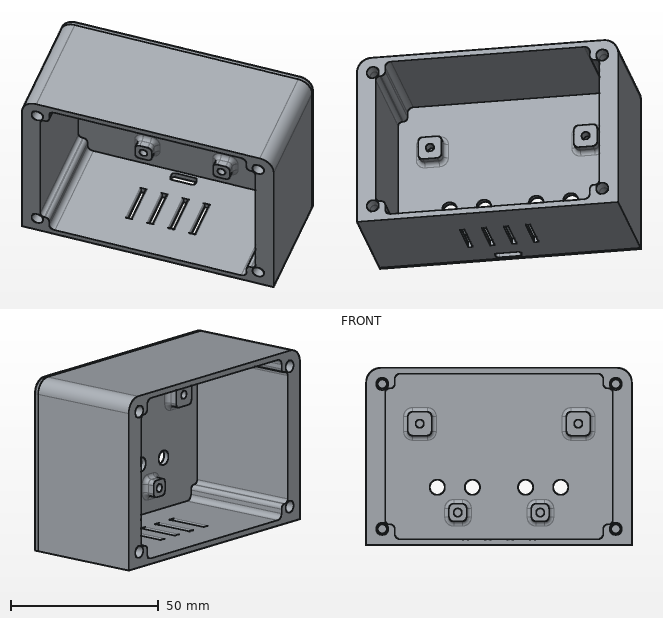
import cadquery as cq

length = 90.0
depth = 42.0
height = 60.0
corner_radius = 5.0
panel_thickness = 2.0
panel_edge_radius = 1.0
wall_depth = depth - panel_thickness

side_wall = 6.5
floor_thickness = 2.0
block_reach = 3.2
block_height = 7.0
block_root_radius = 1.4
block_nose_radius = 1.5
cavity_corner_radius = 2.0

screw_inset = 5.5
screw_mouth_diameter = 4.1
screw_tip_diameter = 3.1
screw_taper_depth = 3.0
screw_hole_depth = 10.0

vent_count = 4
vent_pitch = 7.6
vent_width = 1.5
vent_length = 15.0
vent_edge_radius = 0.45

connector_length = 9.0
connector_width = 3.3
connector_corner_radius = 1.0
connector_panel_gap = 1.1

standoff_height = 4.0
standoff_corner_radius = 1.5
standoff_flare = 1.5
standoff_hole_diameter = 2.8
large_standoff_width = 8.0
large_standoff_x = 26.8
large_standoff_z = 11.1
small_standoff_width = 5.9
small_standoff_x = 13.95
small_standoff_z = -19.0

light_hole_diameter = 5.0
light_hole_xs = (9.0, 20.9)
light_hole_z = -10.4


def upright_plane(y):
    """Sketch plane at the given y, with local x along +X, local y along +Z and its normal towards -Y."""
    return cq.Workplane(cq.Plane(origin=(0, y, 0), xDir=(1, 0, 0), normal=(0, -1, 0)))


def outer_block(y_start, block_depth):
    """Solid with the outer outline, running from y_start towards +Y."""
    return (
        upright_plane(y_start)
        .rect(length, height)
        .extrude(-block_depth)
        .edges("|Y and >Z")
        .fillet(corner_radius)
    )


def cavity():
    """Space inside the walls: a wide slab and a narrower tall slab that leave four corner blocks."""
    inner_width = length - 2 * side_wall
    gap_between_blocks = height - 2 * block_height
    wide_part = upright_plane(0).rect(inner_width, gap_between_blocks).extrude(-wall_depth)
    tall_width = inner_width - 2 * block_reach
    tall_height = height - 2 * floor_thickness
    tall_part = (
        upright_plane(0)
        .rect(tall_width, tall_height)
        .extrude(-wall_depth)
        .edges("|Y")
        .fillet(cavity_corner_radius)
    )
    root_selector = cq.selectors.SumSelector(
        cq.selectors.StringSyntaxSelector("|Y and >X"),
        cq.selectors.StringSyntaxSelector("|Y and <X"),
    )
    space = wide_part.edges(root_selector).fillet(block_root_radius).union(tall_part)
    nose_size = (tall_width + 0.2, 2 * depth, gap_between_blocks + 0.2)
    return space.edges("|Y").edges(cq.selectors.BoxSelector(
        tuple(-s / 2 for s in nose_size), tuple(s / 2 for s in nose_size), boundingbox=False
    )).fillet(block_nose_radius)


def screw_holes():
    """Four blind holes with tapered mouths, one in each corner of the rim."""
    x = length / 2 - screw_inset
    z = height / 2 - screw_inset
    profile = [
        (0, 0),
        (screw_mouth_diameter / 2, 0),
        (screw_tip_diameter / 2, screw_taper_depth),
        (screw_tip_diameter / 2, screw_hole_depth),
        (0, screw_hole_depth),
    ]
    hole = cq.Workplane("XY").polyline(profile).close().revolve(360, (0, 0, 0), (0, 1, 0))
    holes = cq.Workplane("XY")
    for side in (-1, 1):
        for level in (-1, 1):
            holes = holes.add(hole.translate((side * x, 0, level * z)))
    return holes.combine()


def vent_slots():
    """Row of slots through the floor, their long upper edges rounded over."""
    floor_top = floor_thickness - height / 2
    half_mouth = vent_width / 2 + vent_edge_radius
    slots = cq.Workplane("XY")
    profile = (
        cq.Workplane("XZ", origin=(0, depth / 2 + vent_length / 2, 0))
        .moveTo(-vent_width / 2, -height / 2)
        .lineTo(-vent_width / 2, floor_top - vent_edge_radius)
        .radiusArc((-half_mouth, floor_top), -vent_edge_radius)
        .lineTo(half_mouth, floor_top)
        .radiusArc((vent_width / 2, floor_top - vent_edge_radius), -vent_edge_radius)
        .lineTo(vent_width / 2, -height / 2)
        .close()
        .extrude(vent_length)
    )
    for i in range(vent_count):
        x = (i - (vent_count - 1) / 2) * vent_pitch
        slots = slots.add(profile.translate((x, 0, 0)))
    return slots.combine()


def connector_opening():
    """Rounded rectangular opening through the floor."""
    y = wall_depth - connector_panel_gap - connector_width / 2
    return (
        cq.Workplane("XY", origin=(0, y, -height / 2))
        .rect(connector_length, connector_width)
        .extrude(floor_thickness)
        .edges("|Z")
        .fillet(connector_corner_radius)
    )


def make_housing():
    """Four walls with corner screw blocks, open at both ends."""
    return (
        outer_block(0, wall_depth)
        .cut(cavity())
        .cut(screw_holes())
        .cut(vent_slots())
        .cut(connector_opening())
    )


def standoff(x, z, width):
    """Square post with rounded corners on the panel's inner face."""
    return (
        upright_plane(wall_depth)
        .center(x, z)
        .rect(width, width)
        .extrude(standoff_height)
        .edges("|Y")
        .fillet(standoff_corner_radius)
    )


def make_panel():
    """Back panel with light holes and four standoffs, closing the far end of the housing."""
    panel = outer_block(wall_depth, panel_thickness).faces(">Y").edges().fillet(panel_edge_radius)
    posts = [
        (side * x, z, width)
        for side in (-1, 1)
        for x, z, width in (
            (large_standoff_x, large_standoff_z, large_standoff_width),
            (small_standoff_x, small_standoff_z, small_standoff_width),
        )
    ]
    for x, z, width in posts:
        panel = panel.union(standoff(x, z, width))
    foot = cq.selectors.BoxSelector(
        (-length * 0.45, wall_depth - 0.01, -height * 0.45),
        (length * 0.45, wall_depth + 0.01, height * 0.45),
    )
    panel = panel.edges(foot).fillet(standoff_flare)

    screw_points = [(x, z) for x, z, width in posts]
    pilot_holes = (
        upright_plane(wall_depth - standoff_height)
        .pushPoints(screw_points)
        .circle(standoff_hole_diameter / 2)
        .extrude(-standoff_height)
    )
    light_points = [(side * x, light_hole_z) for side in (-1, 1) for x in light_hole_xs]
    light_holes = (
        upright_plane(wall_depth)
        .pushPoints(light_points)
        .circle(light_hole_diameter / 2)
        .extrude(-panel_thickness)
    )
    return panel.cut(pilot_holes).cut(light_holes)


housing = make_housing()
panel = make_panel()

result = cq.Compound.makeCompound([housing.val(), panel.val()])